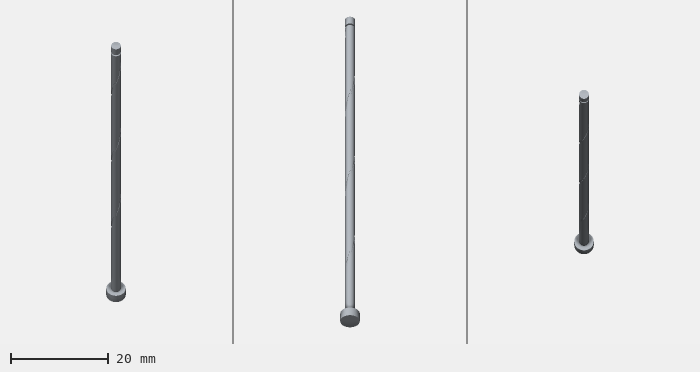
import cadquery as cq
import math

total_length = 79.0
head_diameter = 4.0
head_height = 2.0
shank_diameter = 2.0

tip_length = 1.8
neck_height = 0.4
neck_diameter = 1.2
shank_top = total_length - tip_length - neck_height

groove_bottom = 14.2
groove_turns = 3
groove_start_angle = 90.0
groove_width = 0.4
groove_depth = 0.1
groove_pitch = (shank_top - groove_bottom) / groove_turns


def cylinder(diameter, bottom, top):
    return cq.Workplane("XY").workplane(offset=bottom).circle(diameter / 2).extrude(top - bottom)


def make_groove_cutter():
    """Rectangular section swept along a right-handed helix on the shank surface."""
    radius = shank_diameter / 2
    helix = cq.Wire.makeHelix(groove_pitch, groove_pitch * groove_turns, radius)
    lead_angle = math.atan2(groove_pitch, math.pi * shank_diameter)
    axial_width = groove_width / math.cos(lead_angle)
    section = cq.Workplane("XZ").center(radius, 0).rect(2 * groove_depth, axial_width)
    cutter = section.sweep(cq.Workplane(helix), isFrenet=True)
    return cutter.rotate((0, 0, 0), (0, 0, 1), groove_start_angle).translate((0, 0, groove_bottom))


def make_shank():
    return cylinder(shank_diameter, head_height, shank_top).cut(make_groove_cutter())


head = cylinder(head_diameter, 0, head_height)
neck = cylinder(neck_diameter, shank_top, shank_top + neck_height)
tip = cylinder(shank_diameter, shank_top + neck_height, total_length)

result = head.union(make_shank()).union(neck).union(tip).solids()